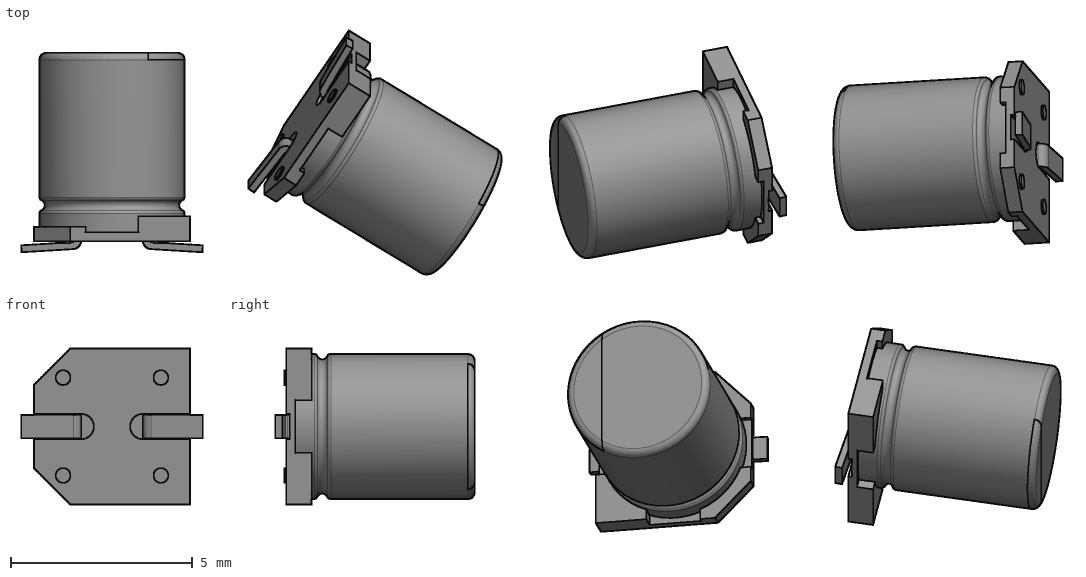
import cadquery as cq
import math


can_radius = 2.0
can_top = 5.2
can_top_fillet = 0.2
groove_y = 0.995
groove_radius = 0.15
groove_lip_radius = 0.1
marker_x = 1.0

base_width = 4.3
base_chamfer = 1.0
floor_thickness = 0.25
low_post_top = 0.4
high_post_top = 0.7
notch_half_width = 0.725
foot_radius = 0.205
foot_height = 0.05
foot_offset = 1.35

slot_width = 0.7
slot_depth = 0.1
slot_end_x = 0.5

lead_width = 0.65
lead_thickness = 0.2
lead_span = 5.01
lead_drop = 0.3
lead_bend_x = 1.09
bend_inner_radius = 0.05
lead_tilt = math.radians(3.5)

base_half = base_width / 2


def revolve_can():
    """Full can: rounded top and a rolled groove near the bottom."""
    lip_r = can_radius - groove_lip_radius
    centre_distance = groove_radius + groove_lip_radius
    lip_offset = math.sqrt(centre_distance**2 - groove_lip_radius**2)
    lip_angle = math.acos(groove_lip_radius / centre_distance)
    lip_mid_r = lip_r + groove_lip_radius * math.cos(lip_angle / 2)
    lip_mid_offset = lip_offset - groove_lip_radius * math.sin(lip_angle / 2)
    join_r = lip_r + groove_lip_radius * math.cos(lip_angle)
    join_offset = lip_offset - groove_lip_radius * math.sin(lip_angle)
    fillet_leg = can_top_fillet * math.sqrt(0.5)
    fillet_r = can_radius - can_top_fillet
    fillet_y = can_top - can_top_fillet

    profile = (
        cq.Workplane("YZ")
        .moveTo(floor_thickness, 0)
        .lineTo(floor_thickness, can_radius)
        .lineTo(groove_y - lip_offset, can_radius)
        .threePointArc((groove_y - lip_mid_offset, lip_mid_r), (groove_y - join_offset, join_r))
        .threePointArc((groove_y, can_radius - groove_radius), (groove_y + join_offset, join_r))
        .threePointArc((groove_y + lip_mid_offset, lip_mid_r), (groove_y + lip_offset, can_radius))
        .lineTo(fillet_y, can_radius)
        .threePointArc((fillet_y + fillet_leg, fillet_r + fillet_leg), (can_top, fillet_r))
        .lineTo(can_top, 0)
        .close()
    )
    return profile.revolve(360, (0, 0, 0), (1, 0, 0))


def marker_region():
    """Block bounding the polarity marker: the +X segment of the can's rounded top."""
    return cq.Workplane("XY").box(
        can_radius, can_top_fillet, 2 * can_radius, centered=(False, False, True)
    ).translate((marker_x, can_top - can_top_fillet, 0))


def extrude_up(sketch, height):
    """Extrude an XZ sketch toward +Y."""
    return sketch.extrude(-height)


def slot_cutter(side):
    """Round-ended slot, open at the base edge on the given side (-1 or +1)."""
    half = slot_width / 2
    arc_x = slot_end_x + half
    sketch = (
        cq.Workplane("XZ")
        .moveTo(side * base_half, -half)
        .lineTo(side * arc_x, -half)
        .threePointArc((side * slot_end_x, 0), (side * arc_x, half))
        .lineTo(side * base_half, half)
        .close()
    )
    return extrude_up(sketch, slot_depth)


def make_base():
    """Chamfered plate with four corner posts around the can, feet and lead slots."""
    plate = extrude_up(cq.Workplane("XZ").rect(base_width, base_width), high_post_top)
    plate = plate.edges("|Y and <X").chamfer(base_chamfer)

    above_low_posts = cq.Workplane("XY").box(
        base_half, high_post_top, base_width, centered=(False, False, True)
    ).translate((-base_half, low_post_top, 0))
    notch_x = cq.Workplane("XY").box(
        base_width, high_post_top, 2 * notch_half_width, centered=(True, False, True)
    ).translate((0, floor_thickness, 0))
    notch_z = notch_x.rotate((0, 0, 0), (0, 1, 0), 90)
    can_seat = extrude_up(
        cq.Workplane("XZ", origin=(0, floor_thickness, 0)).circle(can_radius), high_post_top
    )
    base = plate.cut(above_low_posts).cut(notch_x).cut(notch_z).cut(can_seat)

    for side in (-1, 1):
        base = base.cut(slot_cutter(side))
    feet = (
        cq.Workplane("XZ")
        .rect(2 * foot_offset, 2 * foot_offset, forConstruction=True)
        .vertices()
        .circle(foot_radius)
        .extrude(foot_height)
    )
    return base.union(feet)


def make_lead(side):
    """Bent lead: a stem in the slot, a round bend and a flat tongue sloping down and outward."""
    outer_radius = bend_inner_radius + lead_thickness
    tongue_length = (lead_span / 2 - lead_bend_x) / math.cos(lead_tilt)
    tongue_length += bend_inner_radius * math.tan(lead_tilt)
    tongue_fall = tongue_length * math.sin(lead_tilt)
    tongue_run = tongue_length * math.cos(lead_tilt)
    bend_y = outer_radius * math.cos(lead_tilt) + tongue_fall - lead_drop
    tongue_angle = math.radians(270) - lead_tilt
    middle_angle = (math.pi + tongue_angle) / 2

    def bend_point(radius, angle):
        return (lead_bend_x + radius * math.cos(angle), bend_y + radius * math.sin(angle))

    inner_end = bend_point(bend_inner_radius, tongue_angle)
    outer_end = bend_point(outer_radius, tongue_angle)
    profile = (
        cq.Workplane("XY")
        .moveTo(lead_bend_x - bend_inner_radius, slot_depth)
        .lineTo(lead_bend_x - bend_inner_radius, bend_y)
        .threePointArc(bend_point(bend_inner_radius, middle_angle), inner_end)
        .lineTo(inner_end[0] + tongue_run, inner_end[1] - tongue_fall)
        .lineTo(outer_end[0] + tongue_run, outer_end[1] - tongue_fall)
        .lineTo(*outer_end)
        .threePointArc(bend_point(outer_radius, middle_angle), bend_point(outer_radius, math.pi))
        .lineTo(lead_bend_x - outer_radius, slot_depth)
        .close()
    )
    lead = profile.extrude(lead_width / 2, both=True)
    return lead if side > 0 else lead.mirror("YZ")


full_can = revolve_can()
can = full_can.cut(marker_region())
marker = full_can.intersect(marker_region())
base = make_base()
leads = [make_lead(side) for side in (-1, 1)]

result = cq.Compound.makeCompound(
    [can.val(), marker.val(), base.val(), *[lead.val() for lead in leads]]
)